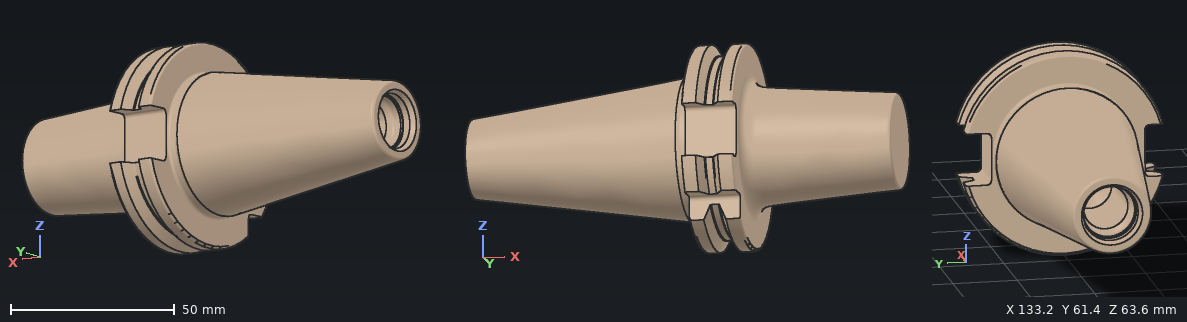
import cadquery as cq
import math

overall_length = 133.25

taper_length = 68.25
gauge_radius = 44.45 / 2
taper_slope = 7 / 24 / 2
shank_end_fillet = 1.0
relief_radius = 21.8
relief_lead_start = taper_length - 0.5
relief_lead_end = taper_length + 0.7
relief_fillet = 1.0

flange_radius = 63.55 / 2
flange_start = taper_length + 3.2
flange_end = taper_length + 19.1
flange_width = flange_end - flange_start
flange_fillet = 0.8
groove_center = taper_length + 11.1
groove_half_width = 3.45
groove_floor_radius = 56.25 / 2
groove_wall_angle = 30
groove_fillet = 0.4

nose_end_radius = 14.9
nose_angle = 4.5
nose_root_fillet = 4.7
nose_end_fillet = 1.0

slot_width = 16.3
slot_floor_minus_y = 25.0
slot_floor_plus_y = 22.8
slot_fillet = 1.5
notch_distance = 18.5
cutter_reach = 2 * flange_radius

entry_radius = 9.5
entry_half_angle = 30
bore_radius = 8.5
bore_depth = 8.0
bore_end_fillet = 1.0
rib_start = 4.2
rib_width = 0.75
rib_radius = 8.1
core_radius = 6.9
core_depth = 34.0
drill_point_angle = 118

selection_tolerance = 0.01


def tan_deg(angle):
    return math.tan(math.radians(angle))


def taper_radius(x):
    return gauge_radius - (taper_length - x) * taper_slope


def nose_radius(x):
    return nose_end_radius + (overall_length - x) * tan_deg(nose_angle)


def revolve_about_x(profile):
    return profile.close().revolve(360, (0, 0, 0), (1, 0, 0))


def edges_at(x, max_radius):
    """Select the edges lying in the plane at x, no further out than max_radius."""
    reach = max_radius + selection_tolerance
    return cq.selectors.BoxSelector(
        (x - selection_tolerance, -reach, -reach),
        (x + selection_tolerance, reach, reach),
        boundingbox=True,
    )


def make_shank():
    profile = (
        cq.Workplane("XY")
        .moveTo(0, 0)
        .lineTo(0, taper_radius(0))
        .lineTo(relief_lead_start, taper_radius(relief_lead_start))
        .lineTo(relief_lead_end, relief_radius)
        .lineTo(flange_start - relief_fillet, relief_radius)
        .radiusArc((flange_start, relief_radius + relief_fillet), -relief_fillet)
        .lineTo(flange_start, 0)
    )
    return revolve_about_x(profile).faces("<X").edges().fillet(shank_end_fillet)


def make_groove():
    groove_depth = flange_radius - groove_floor_radius
    floor_half_width = groove_half_width - groove_depth * tan_deg(groove_wall_angle)
    profile = (
        cq.Workplane("XY")
        .moveTo(groove_center - groove_half_width, flange_radius)
        .lineTo(groove_center - floor_half_width, groove_floor_radius)
        .lineTo(groove_center + floor_half_width, groove_floor_radius)
        .lineTo(groove_center + groove_half_width, flange_radius)
    )
    floor_edges = cq.selectors.RadiusNthSelector(0)
    return revolve_about_x(profile).edges(floor_edges).fillet(groove_fillet)


def make_flange():
    disc = (
        cq.Workplane("YZ", origin=(flange_start, 0, 0))
        .circle(flange_radius)
        .extrude(flange_width)
        .edges()
        .fillet(flange_fillet)
    )
    return disc.cut(make_groove())


def make_nose():
    profile = (
        cq.Workplane("XY")
        .moveTo(flange_end, 0)
        .lineTo(flange_end, nose_radius(flange_end))
        .lineTo(overall_length, nose_radius(overall_length))
        .lineTo(overall_length, 0)
    )
    return revolve_about_x(profile).faces(">X").edges().fillet(nose_end_fillet)


def make_flange_cutter(y_low, y_high, z_low, z_high):
    """Block through the flange width, with its lengthwise edges rounded."""
    return (
        cq.Workplane("XY")
        .box(flange_width, y_high - y_low, z_high - z_low, centered=False)
        .translate((flange_start, y_low, z_low))
        .edges("|X")
        .fillet(slot_fillet)
    )


def cut_slots_and_notch(body):
    half_slot = slot_width / 2
    minus_y_slot = make_flange_cutter(-cutter_reach, -slot_floor_minus_y, -half_slot, half_slot)
    plus_y_slot = make_flange_cutter(slot_floor_plus_y, cutter_reach, -half_slot, half_slot)
    notch = make_flange_cutter(-cutter_reach, -notch_distance, -cutter_reach, -notch_distance)
    return body.cut(minus_y_slot).cut(plus_y_slot).cut(notch)


def make_bore():
    """Material removed by the pull-stud bore, leaving a narrow inner rib."""
    entry_depth = (entry_radius - bore_radius) / tan_deg(entry_half_angle)
    core_start = bore_depth + bore_radius - core_radius
    drill_tip = core_depth + core_radius / tan_deg(drill_point_angle / 2)
    profile = (
        cq.Workplane("XY")
        .moveTo(0, 0)
        .lineTo(0, entry_radius)
        .lineTo(entry_depth, bore_radius)
        .lineTo(bore_depth, bore_radius)
        .lineTo(core_start, core_radius)
        .lineTo(core_depth, core_radius)
        .lineTo(drill_tip, 0)
    )
    bore_end = edges_at(bore_depth, bore_radius)
    bore = revolve_about_x(profile).edges(bore_end).fillet(bore_end_fillet)
    rib = (
        cq.Workplane("YZ", origin=(rib_start, 0, 0))
        .circle(entry_radius)
        .circle(rib_radius)
        .extrude(rib_width)
    )
    return bore.cut(rib)


flange_and_nose = make_flange().union(make_nose())
nose_root = edges_at(flange_end, nose_radius(flange_end))
flange_and_nose = flange_and_nose.edges(nose_root).fillet(nose_root_fillet)

body = flange_and_nose.union(make_shank())
body = cut_slots_and_notch(body)
result = body.cut(make_bore())